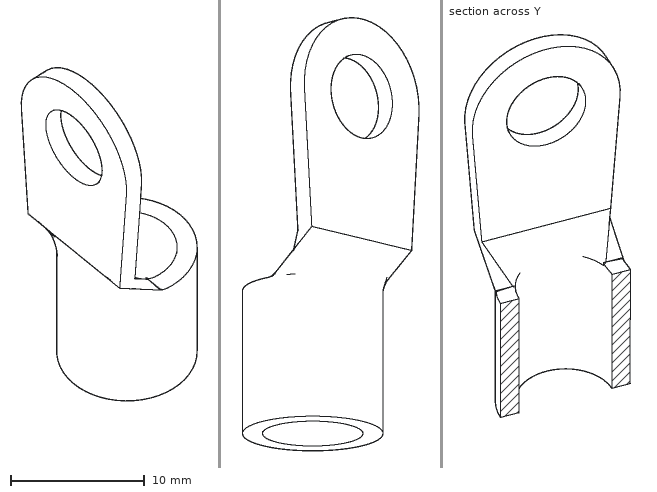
import cadquery as cq
import math

total_height = 30.98
tube_radius = 5.25
bore_radius = 3.75
tube_height = 11.0
plate_start = 14.05
plate_base_width = 10.4
head_radius = 5.98
hole_radius = 3.2
neck_end_y = -0.95
neck_fillet = 0.8

plate_thickness = tube_radius - bore_radius
head_height = total_height - head_radius
half_base = plate_base_width / 2


def make_tube():
    """Round crimp barrel, open at both ends."""
    return cq.Workplane("XY").circle(tube_radius).circle(bore_radius).extrude(tube_height)


def make_tongue():
    """Flat tongue whose straight sides run tangent into its round head."""
    drop = head_height - plate_start
    base_angle = math.atan2(drop, half_base)
    tangent_angle = math.acos(head_radius / math.hypot(half_base, drop)) - base_angle
    tangent_x = head_radius * math.cos(tangent_angle)
    tangent_z = head_height + head_radius * math.sin(tangent_angle)
    return (
        cq.Workplane("XZ", origin=(0, -tube_radius, 0))
        .moveTo(-half_base, plate_start)
        .lineTo(half_base, plate_start)
        .lineTo(tangent_x, tangent_z)
        .threePointArc((0, total_height), (-tangent_x, tangent_z))
        .close()
        .moveTo(0, head_height)
        .circle(hole_radius)
        .extrude(-plate_thickness)
    )


def sector_edges():
    """Front part of the tube wall at its top: outer arc, right end, inner arc, left end."""

    def ring_end(radius, side):
        return cq.Vector(side * math.sqrt(radius**2 - neck_end_y**2), neck_end_y, tube_height)

    def ring_front(radius):
        return cq.Vector(0, -radius, tube_height)

    outer_left = ring_end(tube_radius, -1)
    outer_right = ring_end(tube_radius, 1)
    inner_right = ring_end(bore_radius, 1)
    inner_left = ring_end(bore_radius, -1)
    return [
        cq.Edge.makeThreePointArc(outer_left, ring_front(tube_radius), outer_right),
        cq.Edge.makeLine(outer_right, inner_right),
        cq.Edge.makeThreePointArc(inner_right, ring_front(bore_radius), inner_left),
        cq.Edge.makeLine(inner_left, outer_left),
    ]


def tongue_base_edges():
    """Bottom rectangle of the tongue: front, right, back and left edges."""
    corners = [
        cq.Vector(-half_base, -tube_radius, plate_start),
        cq.Vector(half_base, -tube_radius, plate_start),
        cq.Vector(half_base, -bore_radius, plate_start),
        cq.Vector(-half_base, -bore_radius, plate_start),
    ]
    return [cq.Edge.makeLine(corners[i - 1], corners[i]) for i in (1, 2, 3, 0)]


def make_neck():
    """Solid bounded by ruled faces from the tube wall to the tongue base."""
    lower_edges = sector_edges()
    upper_edges = tongue_base_edges()
    faces = [
        cq.Face.makeFromWires(cq.Wire.assembleEdges(lower_edges)),
        cq.Face.makeFromWires(cq.Wire.assembleEdges(upper_edges)),
    ]
    for lower, upper in zip(lower_edges, upper_edges):
        faces.append(cq.Face.makeRuledSurface(lower, upper))
    return cq.Workplane(cq.Solid.makeSolid(cq.Shell.makeShell(faces)))


def make_neck_fillets():
    """Concave fillets, trimmed to the tube wall, where the neck ends rise from the tube top."""
    slope = math.atan2(plate_start - tube_height, neck_end_y + bore_radius)
    tangent_length = neck_fillet * math.tan(slope / 2)
    arc_start_y = neck_end_y + tangent_length
    arc_end_y = neck_end_y - tangent_length * math.cos(slope)
    arc_end_z = tube_height + tangent_length * math.sin(slope)
    arc_middle_y = arc_start_y - neck_fillet * math.sin(slope / 2)
    arc_middle_z = tube_height + neck_fillet * (1 - math.cos(slope / 2))
    strip = (
        cq.Workplane("YZ")
        .moveTo(arc_start_y, tube_height)
        .threePointArc((arc_middle_y, arc_middle_z), (arc_end_y, arc_end_z))
        .lineTo(arc_end_y, tube_height)
        .close()
        .extrude(tube_radius, both=True)
    )
    wall = (
        cq.Workplane("XY", origin=(0, 0, tube_height))
        .circle(tube_radius)
        .circle(bore_radius)
        .extrude(plate_start - tube_height)
    )
    return strip.intersect(wall)


result = make_tube().union(make_neck()).union(make_neck_fillets()).union(make_tongue())